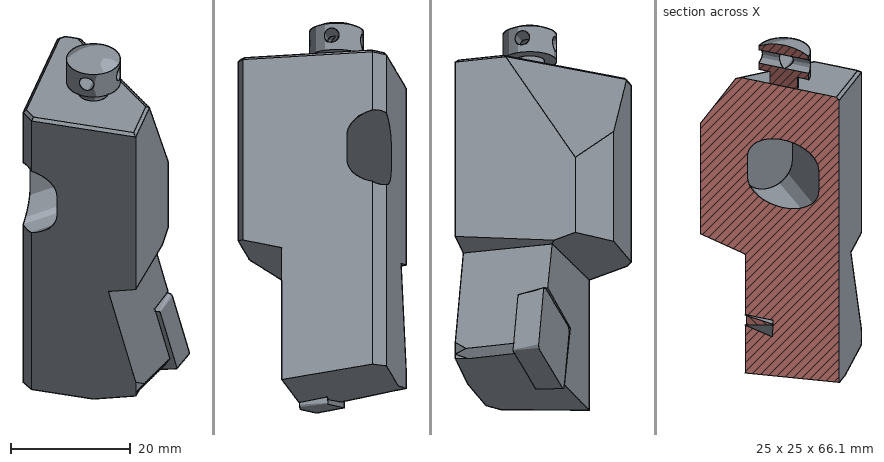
import cadquery as cq
import math


SHANK_WIDTH = 20.0
SHANK_DEPTH = 25.0
FRONT_CHAMFER = 2.0
BACK_CHAMFER = 1.0
TOP_CHAMFER = 0.5
BACK_CORNER_CUT_X = 8.7
BACK_CORNER_CUT_Y = 4.1

BEVEL_LEFT_X = 3.5
BEVEL_ANGLE = 66.0

SLOT_WIDTH = 9.0
SLOT_LENGTH = 13.0
SLOT_DEPTH = 21.0
SLOT_CENTER_Z = -17.0

BACK_STEP_Y = 17.4
BACK_STEP_Z = -34.0
BACK_STEP_ANGLE = 15.0
BACK_TILT_ANGLE = 2.6

NOSE_ANGLE = 15.0
NOSE_CORNER_X = 20.71
NOSE_CORNER_Z = -53.07
NOSE_CHAMFER = 1.25
SIDE_RELIEF = 10.6
END_RELIEF = 7.5
NOSE_FACET_ANGLE = 21.6
NOSE_TOP_Z = -36.5
SHOULDER_Z = -31.55
SHOULDER_RELIEF = 8.0
BOTTOM_Z = -55.22
BOTTOM_RELIEF = 6.5

INSERT_SIZE = 12.7
INSERT_THICKNESS = 4.76
INSERT_CLEARANCE = 7.0
INSERT_CORNER_RADIUS = 0.8
INSERT_TIP = (25.14, 16.0, -54.95)
RAKE_ANGLE = 3.6

PIN_X = 10.0
PIN_Y = 10.0
STEM_DIAMETER = 5.0
HEAD_DIAMETER = 9.0
HEAD_BOTTOM_Z = 2.2
HEAD_RIM_Z = 6.8
HEAD_TOP_Z = 8.0
CROSS_HOLE_DIAMETER = 2.5
CROSS_HOLE_Z = 4.75

REACH = 100.0

TURN = math.radians(NOSE_ANGLE)
ALONG_END = cq.Vector(math.cos(TURN), 0, math.sin(TURN))
UP_SIDE = cq.Vector(-math.sin(TURN), 0, math.cos(TURN))
BACKWARD = cq.Vector(0, 1, 0)
NOSE_CORNER = cq.Vector(NOSE_CORNER_X, 0, NOSE_CORNER_Z)

RAKE = math.radians(RAKE_ANGLE)
RAKE_NORMAL = BACKWARD * math.cos(RAKE) + ALONG_END * math.sin(RAKE)


def half_space(point, normal):
    """A large block that fills the side of a plane to which the normal points."""
    return cq.Workplane(cq.Plane(point, normal=normal)).rect(2 * REACH, 2 * REACH).extrude(REACH)


def relieved(direction, relief):
    """The outward normal of a face whose back edge stands further out by a relief angle."""
    angle = math.radians(relief)
    return direction * math.cos(angle) - BACKWARD * math.sin(angle)


def outside_nose_side():
    return half_space(NOSE_CORNER, relieved(ALONG_END, SIDE_RELIEF))


def make_shank():
    """Upright prism with the inclined back face, top chamfers and an undercut beside the nose."""
    shank = (
        cq.Workplane("XY")
        .polyline([
            (FRONT_CHAMFER, 0),
            (SHANK_WIDTH, 0),
            (SHANK_WIDTH, SHANK_DEPTH - BACK_CORNER_CUT_Y),
            (SHANK_WIDTH - BACK_CORNER_CUT_X, SHANK_DEPTH),
            (BACK_CHAMFER, SHANK_DEPTH),
            (0, SHANK_DEPTH - BACK_CHAMFER),
            (0, FRONT_CHAMFER),
        ])
        .close()
        .extrude(-REACH)
    )
    tilt = math.radians(BEVEL_ANGLE)
    level = math.sin(tilt) / math.sqrt(2)
    bevel_normal = cq.Vector(level, level, math.cos(tilt))
    shank = shank.cut(half_space((BEVEL_LEFT_X, SHANK_DEPTH, 0), bevel_normal))
    shank = shank.faces(">Z").chamfer(TOP_CHAMFER)

    shoulder_point = (SHANK_WIDTH, 0, SHOULDER_Z)
    below_shoulder = half_space(shoulder_point, relieved(UP_SIDE * -1, SHOULDER_RELIEF))
    return shank.cut(below_shoulder.intersect(outside_nose_side()))


def make_nose():
    """Block that reaches past the shank's right side to carry the insert."""
    nose = (
        cq.Workplane("XY", origin=(SHANK_WIDTH / 2, 0, NOSE_TOP_Z))
        .rect(SHANK_WIDTH, BACK_STEP_Y, centered=False)
        .extrude(-REACH)
        .cut(outside_nose_side())
    )
    facet = math.radians(NOSE_FACET_ANGLE)
    facet_normal = cq.Vector(math.cos(facet), -math.sin(facet), 0)
    nose = nose.cut(half_space((SHANK_WIDTH, 0, 0), facet_normal))

    corner_point = NOSE_CORNER - ALONG_END * NOSE_CHAMFER
    corner_direction = (ALONG_END - UP_SIDE).normalized()
    corner_relief = (SIDE_RELIEF + END_RELIEF) / math.sqrt(2)
    return nose.cut(half_space(corner_point, relieved(corner_direction, corner_relief)))


def behind_back_step():
    """Space behind the lower part, under the sloping ledge of the back step."""
    step_point = (0, BACK_STEP_Y, BACK_STEP_Z)
    tilt = math.radians(BACK_TILT_ANGLE)
    ledge = math.radians(BACK_STEP_ANGLE)
    behind = half_space(step_point, cq.Vector(math.sin(tilt), math.cos(tilt), 0))
    below = half_space(step_point, cq.Vector(0, math.sin(ledge), -math.cos(ledge)))
    return behind.intersect(below)


def make_slot():
    """Blind slot with round ends, entering square to the front-left chamfer."""
    entry = cq.Plane((0, 0, SLOT_CENTER_Z), xDir=(0, 0, 1), normal=(1, 1, 0))
    return cq.Workplane(entry).slot2D(SLOT_LENGTH, SLOT_WIDTH).extrude(SLOT_DEPTH)


def make_holder():
    below_end = half_space(NOSE_CORNER, relieved(UP_SIDE * -1, END_RELIEF))
    below_bottom = half_space((0, 0, BOTTOM_Z), relieved(cq.Vector(0, 0, -1), BOTTOM_RELIEF))
    return (
        make_shank()
        .union(make_nose())
        .cut(behind_back_step())
        .cut(below_end)
        .cut(below_bottom)
        .cut(make_slot())
        .cut(make_pocket())
        .solids()
    )


def rake_plane():
    """Plane of the rake face: origin at the tip, x up the side edge, y inwards, normal into the insert."""
    up = UP_SIDE - RAKE_NORMAL * UP_SIDE.dot(RAKE_NORMAL)
    return cq.Plane(INSERT_TIP, xDir=up, normal=RAKE_NORMAL * -1)


def make_insert():
    half = INSERT_SIZE / 2
    return (
        cq.Workplane(rake_plane())
        .center(half, half)
        .sketch()
        .rect(INSERT_SIZE, INSERT_SIZE)
        .vertices()
        .fillet(INSERT_CORNER_RADIUS)
        .finalize()
        .extrude(INSERT_THICKNESS, taper=INSERT_CLEARANCE)
    )


def make_pocket():
    """Seat with a flat floor and two upright walls that meet the insert's inner rake edges."""
    size = 2 * INSERT_SIZE
    center = INSERT_SIZE - size / 2
    return (
        cq.Workplane(rake_plane())
        .workplane(offset=INSERT_THICKNESS)
        .center(center, center)
        .rect(size, size)
        .extrude(-size)
    )


def make_pin():
    radius = HEAD_DIAMETER / 2
    rise = HEAD_TOP_Z - HEAD_RIM_Z
    dome_radius = (radius**2 + rise**2) / (2 * rise)
    half_angle = math.asin(radius / dome_radius) / 2
    dome_center_z = HEAD_TOP_Z - dome_radius
    dome_middle = (
        dome_radius * math.sin(half_angle),
        dome_center_z + dome_radius * math.cos(half_angle),
    )
    pin = (
        cq.Workplane("XZ", origin=(PIN_X, PIN_Y, 0))
        .lineTo(STEM_DIAMETER / 2, 0)
        .lineTo(STEM_DIAMETER / 2, HEAD_BOTTOM_Z)
        .lineTo(radius, HEAD_BOTTOM_Z)
        .lineTo(radius, HEAD_RIM_Z)
        .threePointArc(dome_middle, (0, HEAD_TOP_Z))
        .close()
        .revolve(360, (0, 0), (0, 1))
    )
    for plane in ("XZ", "YZ"):
        pin = pin.cut(
            cq.Workplane(plane, origin=(PIN_X, PIN_Y, CROSS_HOLE_Z))
            .circle(CROSS_HOLE_DIAMETER / 2)
            .extrude(HEAD_DIAMETER, both=True)
        )
    return pin.solids()


holder = make_holder()
insert = make_insert()
pin = make_pin()
result = cq.Compound.makeCompound([holder.val(), insert.val(), pin.val()])